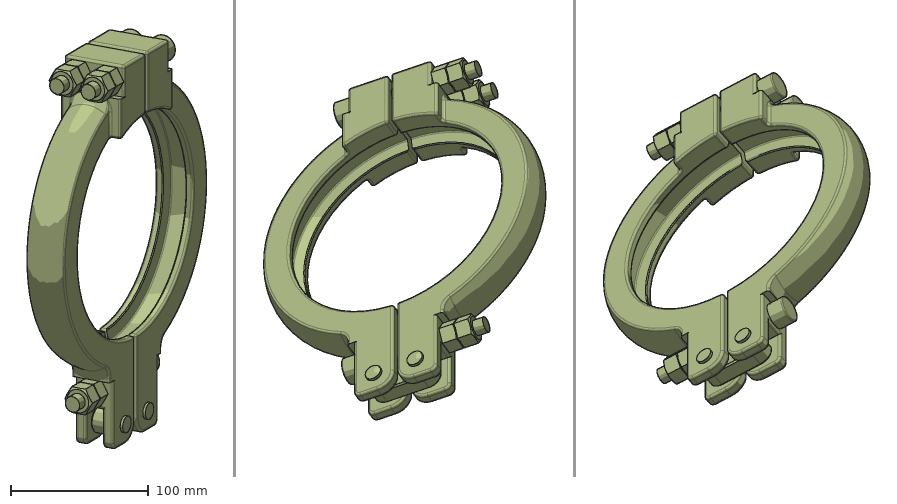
import cadquery as cq
import math

RING_DIAMETER = 222.5
CROWN_RADIUS = RING_DIAMETER / 2
RING_EDGE_RADIUS = 106.5
RING_SIDE_X = 15.7
BORE_RADIUS = 86.0
BORE_ROUND = 1.8
EDGE_ROUND = 2.0
SPLIT_Y = -1.5
RING_START_Y = -9.0

GROOVE_MOUTH_X = 9.5
GROOVE_FLOOR_X = 7.5
GROOVE_FLOOR_RADIUS = 95.0
GROOVE_ROUND = 1.0

EAR_ROOT_Z = 59.5
EAR_Y = -33.5
SHOULDER_Y = -39.0
BLEND_RADIUS = 9.0
BLOCK_SIDE_X = 25.0
BLOCK_TOP_Z = 132.8
BLOCK_LEDGE_Z = 108.7
BLOCK_CORNER_ROUND = 2.0
LUG_BOTTOM_Z = BLOCK_TOP_Z - 297
LUG_LEDGE_Z = -110.8
LUG_CORNER_ROUND = 5.0
LUG_TIP_ROUND = 13.5

SLOT_HALF_WIDTH = 6.8
SLOT_TOP_Z = -134.2
HINGE_Y = 17.0
HINGE_Z = -148.8
PIN_RADIUS = 6.2
PIN_DOME_X = 17.8
PIN_END_X = 18.7
LINK_RADIUS = 9.8
LINK_CHAMFER = 1.2

UPPER_BOLT_X = 13.0
UPPER_BOLT_Z = 120.5
LOWER_BOLT_Z = -121.5
BOLT_RADIUS = 6.0
BOLT_END_Y = -66.2
HEAD_RADIUS = 10.0
HEAD_END_Y = 46.5
HEAD_ROUND = 1.0
NUT_ACROSS_FLATS = 20.0
NUT_LENGTH = 12.2
NUT_CHAMFER_RADIUS = 9.0
NUT_CHAMFER_LENGTH = 1.2

TOLERANCE = 0.3


def near(value, target):
    return abs(value - target) < TOLERANCE


def pick(body, wanted):
    """Edges of the body whose centre satisfies wanted(x, y, z)."""
    return body.newObject([edge for edge in body.edges().vals() if wanted(*edge.Center().toTuple())])


def prism(half_width, y_range, z_range):
    """Box centred on X = 0 between two Y and two Z values."""
    length_y = y_range[1] - y_range[0]
    length_z = z_range[1] - z_range[0]
    box = cq.Workplane("XY").box(2 * half_width, abs(length_y), abs(length_z))
    return box.translate((0, sum(y_range) / 2, sum(z_range) / 2))


def half_disk():
    """One side of the crowned ring, still without its bore."""
    disk = (
        cq.Workplane("XY")
        .moveTo(-RING_SIDE_X, 0)
        .lineTo(-RING_SIDE_X, -RING_EDGE_RADIUS)
        .threePointArc((0, -CROWN_RADIUS), (RING_SIDE_X, -RING_EDGE_RADIUS))
        .lineTo(RING_SIDE_X, 0)
        .close()
        .revolve(360, (0, 0, 0), (1, 0, 0))
    )
    return disk.intersect(prism(BLOCK_SIDE_X, (-RING_DIAMETER, RING_START_Y), (-RING_DIAMETER, RING_DIAMETER)))


def ear(half_width, end_z):
    return prism(half_width, (SHOULDER_Y, SPLIT_Y), (math.copysign(EAR_ROOT_Z, end_z), end_z))


def ledge_cutter(ledge_z, end_z):
    """Clears the seat of a bolt head or nut outside the face Y = EAR_Y."""
    return prism(2 * BLOCK_SIDE_X, (2 * SHOULDER_Y, EAR_Y), (ledge_z, 2 * end_z))


def round_along_x(body, y, z, radius):
    return pick(body, lambda cx, cy, cz: near(cx, 0) and near(cy, y) and near(cz, z)).fillet(radius)


def ring_with_lug():
    """Ring and lug, with a stub of the ring's width inside the block to carry the upper blend."""
    body = half_disk().union(ear(RING_SIDE_X, LUG_BOTTOM_Z)).union(ear(RING_SIDE_X, BLOCK_TOP_Z - 3))

    def crown_corner(x, y, z):
        return near(x, 0) and near(y, SHOULDER_Y) and 98 < abs(z) < 107

    body = pick(body, crown_corner).fillet(BLEND_RADIUS)

    def outer_outline(x, y, z):
        return near(abs(x), RING_SIDE_X) and y < EAR_Y

    body = pick(body, outer_outline).fillet(EDGE_ROUND)
    body = body.cut(ledge_cutter(LUG_LEDGE_Z, LUG_BOTTOM_Z)).cut(ledge_cutter(BLOCK_LEDGE_Z, BLOCK_TOP_Z))

    body = round_along_x(body, EAR_Y, LUG_BOTTOM_Z, LUG_CORNER_ROUND)
    body = round_along_x(body, SPLIT_Y, LUG_BOTTOM_Z, LUG_TIP_ROUND)

    def lug_outline(x, y, z):
        on_outer_face = z < LUG_LEDGE_Z - TOLERANCE
        on_split_face = near(y, SPLIT_Y) and z < 0
        return near(abs(x), RING_SIDE_X) and (on_outer_face or on_split_face)

    body = pick(body, lug_outline).fillet(EDGE_ROUND)
    return cut_hinge_slot(body)


def cut_hinge_slot(body):
    body = body.cut(prism(SLOT_HALF_WIDTH, (2 * EAR_Y, -2 * EAR_Y), (2 * LUG_BOTTOM_Z, SLOT_TOP_Z)))

    def slot_rim(x, y, z):
        on_wall = near(abs(x), SLOT_HALF_WIDTH) and z < SLOT_TOP_Z - TOLERANCE
        on_roof = near(x, 0) and near(z, SLOT_TOP_Z)
        return on_wall or on_roof

    return pick(body, slot_rim).fillet(EDGE_ROUND)


def block():
    body = ear(BLOCK_SIDE_X, BLOCK_TOP_Z).cut(ledge_cutter(BLOCK_LEDGE_Z, BLOCK_TOP_Z))

    def outer_edge(x, y, z):
        above_ledge = z > BLOCK_LEDGE_Z + TOLERANCE
        upright = near(abs(x), BLOCK_SIDE_X) and (near(y, SHOULDER_Y) or near(y, SPLIT_Y))
        return above_ledge or upright

    return pick(body, outer_edge).fillet(BLOCK_CORNER_ROUND)


def groove_cutter():
    """Groove of tapered section, with its mouth and floor corners rounded."""
    inside = BORE_RADIUS - 6
    cutter = (
        cq.Workplane("XY")
        .moveTo(-BLOCK_SIDE_X, -inside)
        .lineTo(-BLOCK_SIDE_X, -BORE_RADIUS)
        .lineTo(-GROOVE_MOUTH_X, -BORE_RADIUS)
        .lineTo(-GROOVE_FLOOR_X, -GROOVE_FLOOR_RADIUS)
        .lineTo(GROOVE_FLOOR_X, -GROOVE_FLOOR_RADIUS)
        .lineTo(GROOVE_MOUTH_X, -BORE_RADIUS)
        .lineTo(BLOCK_SIDE_X, -BORE_RADIUS)
        .lineTo(BLOCK_SIDE_X, -inside)
        .close()
        .revolve(360, (0, 0, 0), (1, 0, 0))
    )

    def corner(x, y, z):
        return near(abs(x), GROOVE_MOUTH_X) or near(abs(x), GROOVE_FLOOR_X)

    return pick(cutter, corner).fillet(GROOVE_ROUND)


def cut_bore(body):
    body = body.cut(cq.Workplane("YZ").circle(BORE_RADIUS).extrude(2 * BLOCK_SIDE_X, both=True))

    def on_rim(edge):
        points = [edge.positionAt(0.1), edge.positionAt(0.5)]
        return all(near(math.hypot(p.y, p.z), BORE_RADIUS) for p in points)

    rim = body.newObject([edge for edge in body.edges().vals() if on_rim(edge)])
    return rim.fillet(BORE_ROUND).cut(groove_cutter())


def clamp_half():
    body = ring_with_lug().union(block())

    def ring_to_block(x, y, z):
        return near(abs(x), RING_SIDE_X) and near(y, SHOULDER_Y) and EAR_ROOT_Z < z < BORE_RADIUS + 12

    body = pick(body, ring_to_block).fillet(EDGE_ROUND)
    return cut_bore(body)


def hinge():
    dome_depth = PIN_END_X - PIN_DOME_X
    half_pin = (
        cq.Workplane("XY")
        .lineTo(PIN_END_X, 0)
        .threePointArc((PIN_DOME_X + 0.75 * dome_depth, PIN_RADIUS / 2), (PIN_DOME_X, PIN_RADIUS))
        .lineTo(0, PIN_RADIUS)
        .close()
        .revolve(360, (0, 0, 0), (1, 0, 0))
    )
    pin = half_pin.union(half_pin.mirror("YZ"))
    body = (
        cq.Workplane("YZ")
        .slot2D(2 * (HINGE_Y + LINK_RADIUS), 2 * LINK_RADIUS)
        .extrude(SLOT_HALF_WIDTH, both=True)
        .faces("<X or >X")
        .chamfer(LINK_CHAMFER)
    )
    for y in (-HINGE_Y, HINGE_Y):
        body = body.union(pin.translate((0, y, 0)))
    return body.translate((0, 0, HINGE_Z))


def nut(start_y):
    plane = cq.Workplane("XZ", origin=(0, start_y, 0))
    corner_radius = NUT_ACROSS_FLATS / math.sqrt(3)
    hexagon = plane.polygon(6, 2 * corner_radius).extrude(NUT_LENGTH)
    cone = plane.circle(corner_radius).extrude(NUT_LENGTH)
    cone = cone.faces("<Y").chamfer(NUT_CHAMFER_LENGTH, corner_radius - NUT_CHAMFER_RADIUS)
    return hexagon.intersect(cone)


def bolt():
    shank = cq.Workplane("XZ", origin=(0, -EAR_Y, 0)).circle(BOLT_RADIUS).extrude(-EAR_Y - BOLT_END_Y)
    head = cq.Workplane("XZ", origin=(0, HEAD_END_Y, 0)).circle(HEAD_RADIUS).extrude(HEAD_END_Y + EAR_Y)
    head = head.faces(">Y").edges().fillet(HEAD_ROUND)
    return shank.union(head).union(nut(EAR_Y)).union(nut(EAR_Y - NUT_LENGTH))


half = clamp_half()
frame = half.union(half.mirror("XZ")).union(hinge())

bolt_places = [
    (-UPPER_BOLT_X, 0, UPPER_BOLT_Z),
    (UPPER_BOLT_X, 0, UPPER_BOLT_Z),
    (0, 0, LOWER_BOLT_Z),
]
bolts = []
for place in bolt_places:
    placed_bolt = bolt().translate(place)
    frame = frame.cut(placed_bolt)
    bolts.append(placed_bolt.val())

result = cq.Compound.makeCompound([frame.val(), *bolts])